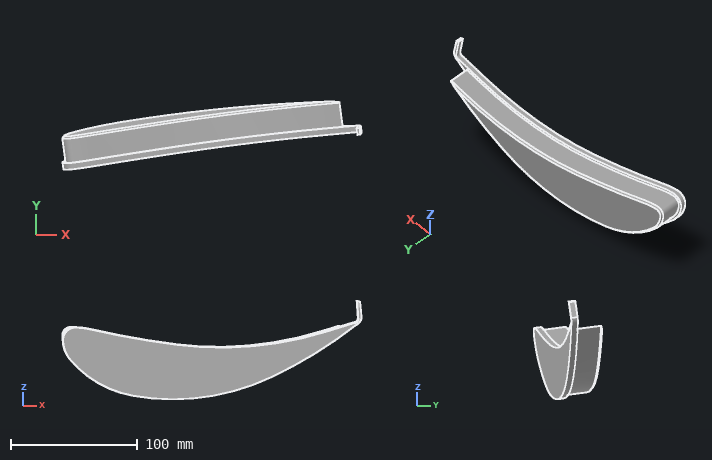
import cadquery as cq
import math

LEAN_ANGLE = 7.5
TURN_ANGLE = 7.6

FLANGE_THICKNESS = 5.2
BODY_DEPTH = 20.8
BODY_INSET = 2.4
BACK_CHAMFER = 1.7
TIP_RADIUS = 0.6

NOSE_RADIUS = 9.2
NOSE_LOW = (0.7, 48.3)
NOSE_TOP = (NOSE_LOW[0] + NOSE_RADIUS, NOSE_LOW[1] + NOSE_RADIUS)

TOP_JOINTS = [(22.5, 56.1), (92.1, 43.8), (210.5, 54.5), (232.5, 61.3)]
BOTTOM_JOINTS = [(6.9, 31.7), (56.5, 3.3), (167.0, 18.0), (234.0, 59.7)]
TAIL_TOP = TOP_JOINTS[-1]
TAIL_LOW = BOTTOM_JOINTS[-1]

HOOK_INNER_BEND = (235.2, 62.5)
HOOK_INNER_LOW = (236.0, 65.0)
HOOK_INNER_TOP = (234.7, 78.6)
HOOK_OUTER_TOP = (237.0, 78.0)
HOOK_OUTER_LOW = (238.5, 65.4)
HOOK_OUTER_BEND = (237.3, 62.5)


def line(start, end):
    return cq.Edge.makeLine(cq.Vector(*start), cq.Vector(*end))


def arc(start, middle, end):
    return cq.Edge.makeThreePointArc(cq.Vector(*start), cq.Vector(*middle), cq.Vector(*end))


def long_edge(start, direction, joints):
    """Chain of tangent arcs that leaves `start` along `direction` and passes through `joints`."""
    edges = []
    heading = cq.Vector(*direction)
    for end in joints:
        edges.append(cq.Edge.makeTangentArc(cq.Vector(*start), heading, cq.Vector(*end)))
        heading = edges[-1].tangentAt(1)
        start = end
    return edges


def blade_edges():
    """Nose and both long edges, open at the tail."""
    bulge = NOSE_RADIUS * (1 - math.sqrt(0.5))
    nose = arc(NOSE_LOW, (NOSE_LOW[0] + bulge, NOSE_TOP[1] - bulge), NOSE_TOP)
    top = long_edge(NOSE_TOP, (1, 0), TOP_JOINTS)
    bottom = long_edge(NOSE_LOW, (0, -1), BOTTOM_JOINTS)
    return [nose] + top + bottom


def hook_edges():
    return [
        arc(TAIL_TOP, HOOK_INNER_BEND, HOOK_INNER_LOW),
        line(HOOK_INNER_LOW, HOOK_INNER_TOP),
        line(HOOK_INNER_TOP, HOOK_OUTER_TOP),
        line(HOOK_OUTER_TOP, HOOK_OUTER_LOW),
        arc(HOOK_OUTER_LOW, HOOK_OUTER_BEND, TAIL_LOW),
    ]


def upright_prism(outline, front, depth):
    """Stand a flat outline up in the XZ plane and extrude it from Y = front toward +Y."""
    section = cq.Workplane("XY").add(outline).toPending()
    return section.extrude(-depth).rotate((0, 0, 0), (1, 0, 0), 90).translate((0, front, 0))


def make_flange():
    outline = cq.Wire.assembleEdges(blade_edges() + hook_edges())
    return upright_prism(outline, 0, FLANGE_THICKNESS)


def make_body():
    """Solid behind the flange, stepped in all round and ending in a narrow tip."""
    blade_outline = cq.Wire.assembleEdges(blade_edges() + [line(TAIL_TOP, TAIL_LOW)])
    body_outline = blade_outline.offset2D(-BODY_INSET)[0]
    body = upright_prism(body_outline, FLANGE_THICKNESS, BODY_DEPTH)
    body = body.faces(">Y").chamfer(BACK_CHAMFER)
    return body.edges("|Y").edges(">X").fillet(TIP_RADIUS)


blade = make_flange().union(make_body())
leaned = blade.rotate((0, 0, 0), (1, 0, 0), LEAN_ANGLE)
result = leaned.rotate((0, 0, 0), (0, 0, 1), TURN_ANGLE)